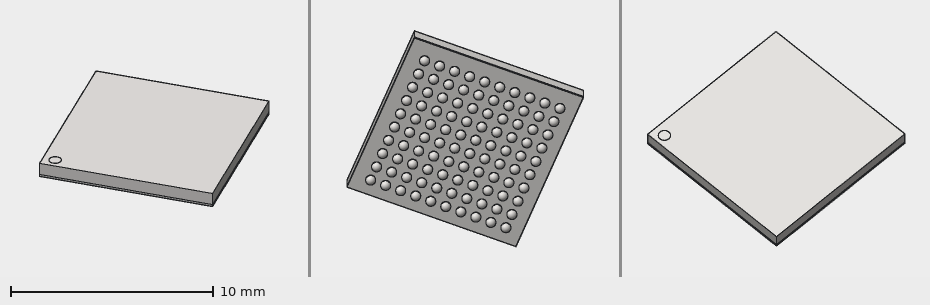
import cadquery as cq

package_side = 9.0
overall_height = 1.21
cap_thickness = 0.65
substrate_thickness = 0.12

ball_diameter = 0.5
ball_pitch = 0.8
balls_per_side = 10

mark_diameter = 0.61
mark_depth = 0.01
mark_inset_x = 0.64
mark_inset_y = 0.54

cap_bottom = overall_height - cap_thickness
substrate_bottom = cap_bottom - substrate_thickness
ball_radius = ball_diameter / 2
mark_x = mark_inset_x - package_side / 2
mark_y = mark_inset_y - package_side / 2


def square_plate(bottom, thickness):
    """Square plate of the package outline, standing on the given level."""
    return (
        cq.Workplane("XY")
        .workplane(offset=bottom)
        .rect(package_side, package_side)
        .extrude(thickness)
    )


def make_cap():
    """Moulded cap with the shallow pin-one mark sunk in its top face."""
    mark = (
        cq.Workplane("XY")
        .workplane(offset=overall_height - mark_depth)
        .center(mark_x, mark_y)
        .circle(mark_diameter / 2)
        .extrude(mark_depth)
    )
    return square_plate(cap_bottom, cap_thickness).cut(mark)


def make_substrate():
    """Thin substrate carrying a square grid of solder balls on its underside."""
    balls = (
        cq.Workplane("XY")
        .workplane(offset=ball_radius)
        .rarray(ball_pitch, ball_pitch, balls_per_side, balls_per_side)
        .sphere(ball_radius, combine=False)
    )
    plate = square_plate(substrate_bottom, substrate_thickness)
    plate_solid = plate.val().fuse(*balls.vals())
    return cq.Workplane(obj=plate_solid.Solids()[0])


cap = make_cap()
substrate = make_substrate()

result = cq.Compound.makeCompound([cap.val(), substrate.val()])